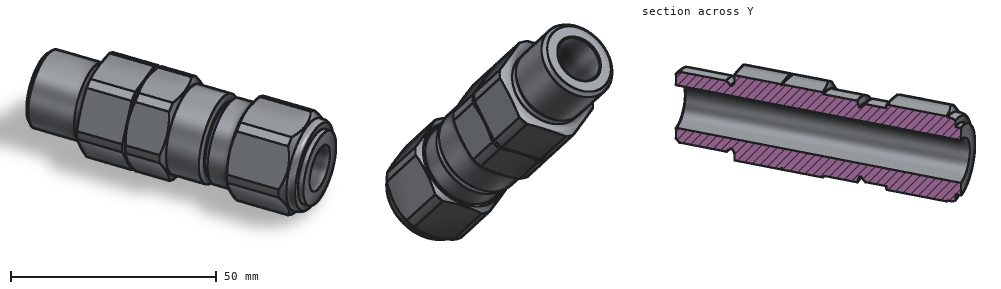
import cadquery as cq
import math

LENGTH = 74.45
BORE_RADIUS = 5.9
BORE_CHAMFER = 0.25

HEX_SIDES = 6
ACROSS_FLATS = 24.0
CORNER_RADIUS = 26.4 / 2

STUB_RADIUS = 10.0
STUB_LENGTH = 14.4
STUB_CHAMFER = 1.0
UNDERCUT_CHAMFER = 1.15
UNDERCUT_RADIUS = STUB_RADIUS - UNDERCUT_CHAMFER
UNDERCUT_WIDTH = 0.25
NECK_RADIUS = 9.9

BODY_HEX_START = 15.25
BODY_HEX_END = 27.6
BODY_HEX_FACE_RADIUS = 11.85
BODY_HEX_CHAMFER_LENGTH = 0.3

LOCK_HEX_END = 38.6
LOCK_HEX_FACE_RADIUS = 11.6
LOCK_HEX_CHAMFER_LENGTH = 0.95

BARREL_RADIUS = 11.5
BARREL_END = 47.4
GROOVE_RADIUS = 9.75
GROOVE_START = 47.95
GROOVE_END = 48.25
COLLAR_RADIUS = 11.0
COLLAR_START = GROOVE_END + COLLAR_RADIUS - GROOVE_RADIUS

NUT_START = 54.9
NUT_CHAMFER_LENGTH = 0.85
NUT_FACE_RADIUS = 11.6
NUT_RIM_START = 70.95
NUT_RIM_RADIUS = 11.75
NUT_END = 73.0
NUT_RIM_ROUND_RADIUS = 1.5
NUT_RIM_ROUND_LENGTH = 1.2

SEAL_RADIUS = 9.5


def revolve_about_x(profile):
    """Solid of revolution about X from a closed profile in the XY plane."""
    return profile.close().revolve(360, (0, 0, 0), (1, 0, 0))


def hexagon(envelope, start, end):
    """Turned envelope cut to a hexagon with two flats facing +Z and -Z."""
    half_side_angle = math.pi / HEX_SIDES
    across_corners = ACROSS_FLATS / math.cos(half_side_angle)
    prism = (
        cq.Workplane("YZ")
        .workplane(offset=start)
        .polygon(HEX_SIDES, across_corners)
        .extrude(end - start)
    )
    return envelope.intersect(prism)


def turned_core():
    """Round sections between and beneath the hexagons."""
    return revolve_about_x(
        cq.Workplane("XY")
        .moveTo(0, 0)
        .lineTo(0, STUB_RADIUS - STUB_CHAMFER)
        .lineTo(STUB_CHAMFER, STUB_RADIUS)
        .lineTo(STUB_LENGTH - UNDERCUT_CHAMFER, STUB_RADIUS)
        .lineTo(STUB_LENGTH, UNDERCUT_RADIUS)
        .lineTo(STUB_LENGTH + UNDERCUT_WIDTH, UNDERCUT_RADIUS)
        .lineTo(BODY_HEX_START, NECK_RADIUS)
        .lineTo(BODY_HEX_END, NECK_RADIUS)
        .lineTo(BODY_HEX_END, BARREL_RADIUS)
        .lineTo(BARREL_END, BARREL_RADIUS)
        .lineTo(GROOVE_START, GROOVE_RADIUS)
        .lineTo(GROOVE_END, GROOVE_RADIUS)
        .lineTo(COLLAR_START, COLLAR_RADIUS)
        .lineTo(NUT_START, COLLAR_RADIUS)
        .lineTo(NUT_START, SEAL_RADIUS)
        .lineTo(LENGTH, SEAL_RADIUS)
        .lineTo(LENGTH, 0)
    )


def body_hexagon():
    """Hexagon chamfered on the stub side only."""
    envelope = revolve_about_x(
        cq.Workplane("XY")
        .moveTo(BODY_HEX_START, 0)
        .lineTo(BODY_HEX_START, BODY_HEX_FACE_RADIUS)
        .lineTo(BODY_HEX_START + BODY_HEX_CHAMFER_LENGTH, CORNER_RADIUS)
        .lineTo(BODY_HEX_END, CORNER_RADIUS)
        .lineTo(BODY_HEX_END, 0)
    )
    return hexagon(envelope, BODY_HEX_START, BODY_HEX_END)


def lock_hexagon():
    """Hexagon chamfered equally at both ends."""
    envelope = revolve_about_x(
        cq.Workplane("XY")
        .moveTo(BODY_HEX_END, 0)
        .lineTo(BODY_HEX_END, LOCK_HEX_FACE_RADIUS)
        .lineTo(BODY_HEX_END + LOCK_HEX_CHAMFER_LENGTH, CORNER_RADIUS)
        .lineTo(LOCK_HEX_END - LOCK_HEX_CHAMFER_LENGTH, CORNER_RADIUS)
        .lineTo(LOCK_HEX_END, LOCK_HEX_FACE_RADIUS)
        .lineTo(LOCK_HEX_END, 0)
    )
    return hexagon(envelope, BODY_HEX_END, LOCK_HEX_END)


def clamping_nut():
    """Hexagon nut with a 45 degree chamfer running into a round rim with a rounded edge."""
    rim_round_drop = NUT_RIM_ROUND_RADIUS - math.sqrt(NUT_RIM_ROUND_RADIUS**2 - NUT_RIM_ROUND_LENGTH**2)
    rim_chamfer = CORNER_RADIUS - NUT_RIM_RADIUS
    envelope = revolve_about_x(
        cq.Workplane("XY")
        .moveTo(NUT_START, 0)
        .lineTo(NUT_START, NUT_FACE_RADIUS)
        .lineTo(NUT_START + NUT_CHAMFER_LENGTH, CORNER_RADIUS)
        .lineTo(NUT_RIM_START - rim_chamfer, CORNER_RADIUS)
        .lineTo(NUT_RIM_START, NUT_RIM_RADIUS)
        .lineTo(NUT_END - NUT_RIM_ROUND_LENGTH, NUT_RIM_RADIUS)
        .radiusArc((NUT_END, NUT_RIM_RADIUS - rim_round_drop), NUT_RIM_ROUND_RADIUS)
        .lineTo(NUT_END, 0)
    )
    return hexagon(envelope, NUT_START, NUT_END)


def bore():
    """Through bore with a small chamfer at the stub mouth."""
    return revolve_about_x(
        cq.Workplane("XY")
        .moveTo(0, 0)
        .lineTo(0, BORE_RADIUS + BORE_CHAMFER)
        .lineTo(BORE_CHAMFER, BORE_RADIUS)
        .lineTo(LENGTH, BORE_RADIUS)
        .lineTo(LENGTH, 0)
    )


result = (
    turned_core()
    .union(body_hexagon())
    .union(lock_hexagon())
    .union(clamping_nut())
    .cut(bore())
)